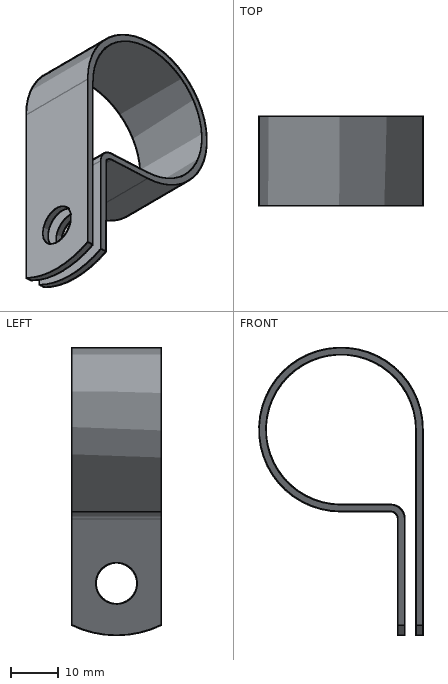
import cadquery as cq
import math

total_height = 61.05
outer_radius = 17.4
thickness = 1.5
width = 19.05
leg_gap = 2.3
bend_inner_radius = 1.5
hole_diameter = 8.65
hole_height = 11.05
tip_rise = 2.2

inner_radius = outer_radius - thickness
tip_z = outer_radius - total_height
short_leg_outer = inner_radius - leg_gap
short_leg_inner = short_leg_outer - thickness
bend_outer_radius = bend_inner_radius + thickness
bend_x = short_leg_outer - bend_outer_radius
bend_z = -inner_radius - bend_outer_radius
half_width = width / 2
diagonal = math.sqrt(0.5)


def strap():
    """Bent strip: long leg, three-quarter loop, short flat, bend and short leg."""
    return (
        cq.Workplane("XZ")
        .moveTo(outer_radius, tip_z)
        .lineTo(outer_radius, 0)
        .threePointArc((-outer_radius * diagonal, outer_radius * diagonal), (0, -outer_radius))
        .lineTo(bend_x, -outer_radius)
        .threePointArc(
            (bend_x + bend_inner_radius * diagonal, bend_z + bend_inner_radius * diagonal),
            (short_leg_inner, bend_z),
        )
        .lineTo(short_leg_inner, tip_z)
        .lineTo(short_leg_outer, tip_z)
        .lineTo(short_leg_outer, bend_z)
        .threePointArc(
            (bend_x + bend_outer_radius * diagonal, bend_z + bend_outer_radius * diagonal),
            (bend_x, -inner_radius),
        )
        .lineTo(0, -inner_radius)
        .threePointArc((-inner_radius * diagonal, inner_radius * diagonal), (inner_radius, 0))
        .lineTo(inner_radius, tip_z)
        .close()
        .extrude(half_width, both=True)
    )


def side_outline():
    """Block with the strip's side outline: rounded at the bottom, flat at the top."""
    return (
        cq.Workplane("YZ")
        .moveTo(-half_width, outer_radius)
        .lineTo(-half_width, tip_z + tip_rise)
        .threePointArc((0, tip_z), (half_width, tip_z + tip_rise))
        .lineTo(half_width, outer_radius)
        .close()
        .extrude(outer_radius, both=True)
    )


def bolt_hole():
    """Cylinder along X that passes through both legs."""
    return (
        cq.Workplane("YZ")
        .center(0, tip_z + hole_height)
        .circle(hole_diameter / 2)
        .extrude(outer_radius)
    )


result = strap().intersect(side_outline()).cut(bolt_hole())